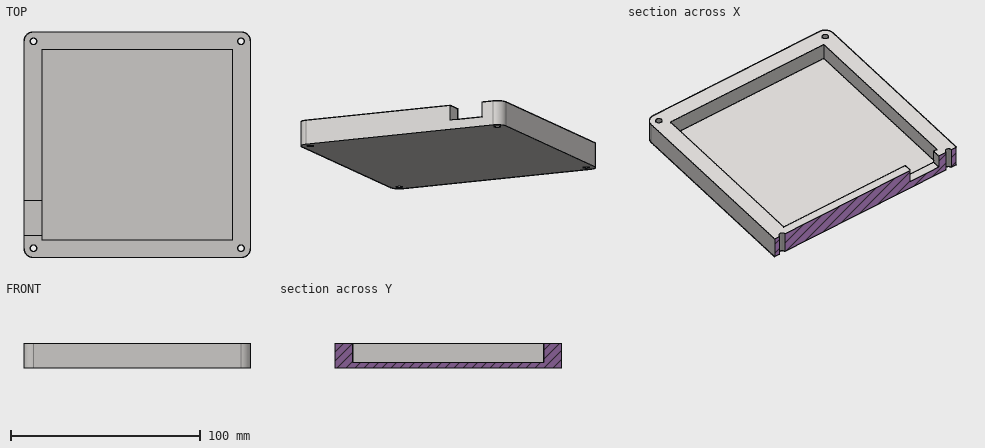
import cadquery as cq

length = 119.5
width = 119.1
height = 13.0
corner_radius = 5.0

pocket_side = 100.5
pocket_depth = 10.0

notch_width = 18.5
notch_depth = 8.0
notch_center_y = -38.7

hole_diameter = 3.3
hole_spacing_x = length - 2 * corner_radius
hole_spacing_y = width - 2 * corner_radius


def tray_blank():
    """Plate with rounded vertical corners, resting on Z = 0."""
    plate = cq.Workplane("XY").box(length, width, height, centered=(True, True, False))
    return plate.edges("|Z").fillet(corner_radius)


def pocket():
    floor = cq.Workplane("XY").workplane(offset=height - pocket_depth)
    return floor.rect(pocket_side, pocket_side).extrude(pocket_depth)


def wall_notch():
    """Block running from the -X face to the pocket."""
    wall_thickness = (length - pocket_side) / 2
    return (
        cq.Workplane("XY")
        .workplane(offset=height - notch_depth)
        .center((wall_thickness - length) / 2, notch_center_y)
        .rect(wall_thickness, notch_width)
        .extrude(notch_depth)
    )


def screw_holes():
    return (
        cq.Workplane("XY")
        .rect(hole_spacing_x, hole_spacing_y, forConstruction=True)
        .vertices()
        .circle(hole_diameter / 2)
        .extrude(height)
    )


result = tray_blank().cut(pocket()).cut(wall_notch()).cut(screw_holes())